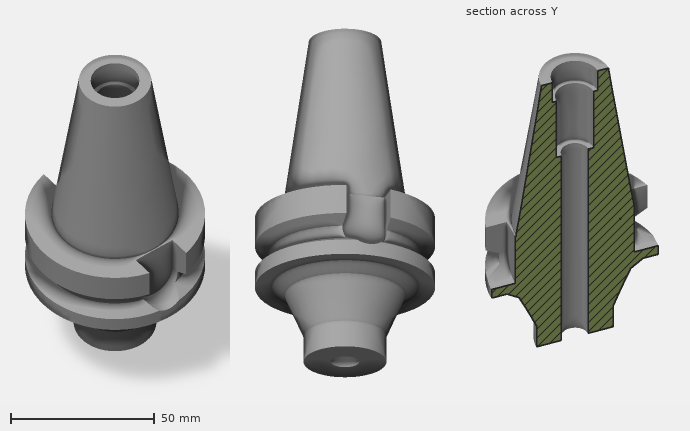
import cadquery as cq
import math

gauge_diameter = 44.45
taper_length = 65.4
taper_ratio = 7 / 24

flange_diameter = 63.0
flange_top = -1.0
flange_bottom = -27.0
groove_center = -16.6
groove_mouth = 10.0
groove_core_diameter = 53.2
groove_wall_angle = 30.0

slot_width = 16.1
slot_depth = 21.8
slot_floor_offset = 22.5

under_cone_diameter = 51.2
under_cone_height = 3.1
neck_diameter = 42.2
neck_height = 15.2
nose_diameter = 29.0
nose_bottom = -55.0

pilot_diameter = 17.0
pilot_depth = 9.0
thread_bore_diameter = 14.0
thread_bore_depth = 35.0
through_diameter = 10.0


def make_body():
    """Revolve the outer half profile, from the small taper end down to the nose."""
    flange_radius = flange_diameter / 2
    core_radius = groove_core_diameter / 2
    gauge_radius = gauge_diameter / 2
    small_radius = gauge_radius - taper_length * taper_ratio / 2
    wall_height = (flange_radius - core_radius) * math.tan(math.radians(groove_wall_angle))
    mouth_top = groove_center + groove_mouth / 2
    mouth_bottom = groove_center - groove_mouth / 2
    neck_top = flange_bottom - under_cone_height
    profile = [
        (0, taper_length),
        (small_radius, taper_length),
        (gauge_radius, 0),
        (gauge_radius, flange_top),
        (flange_radius, flange_top),
        (flange_radius, mouth_top),
        (core_radius, mouth_top - wall_height),
        (core_radius, mouth_bottom + wall_height),
        (flange_radius, mouth_bottom),
        (flange_radius, flange_bottom),
        (under_cone_diameter / 2, flange_bottom),
        (neck_diameter / 2, neck_top),
        (nose_diameter / 2, neck_top - neck_height),
        (nose_diameter / 2, nose_bottom),
        (0, nose_bottom),
    ]
    return cq.Workplane("YZ").polyline(profile).close().revolve(360, (0, 0), (0, 1))


def make_bore():
    """Stack the pilot, thread and through bores on the axis."""
    def bore(diameter, depth):
        return cq.Workplane("XY", origin=(0, 0, taper_length - depth)).circle(diameter / 2).extrude(depth)

    pilot = bore(pilot_diameter, pilot_depth)
    thread = bore(thread_bore_diameter, thread_bore_depth)
    through = bore(through_diameter, taper_length - nose_bottom)
    return pilot.union(thread).union(through)


def make_drive_slot(side):
    """Round-bottomed slot cutter running outward along X; side is +1 or -1."""
    radius = slot_width / 2
    slot_bottom = flange_top - slot_depth
    arc_center = slot_bottom + radius
    return (
        cq.Workplane("YZ", origin=(side * slot_floor_offset, 0, 0))
        .moveTo(-radius, flange_top)
        .lineTo(-radius, arc_center)
        .threePointArc((0, slot_bottom), (radius, arc_center))
        .lineTo(radius, flange_top)
        .close()
        .extrude(side * flange_diameter / 2)
    )


result = make_body().cut(make_bore())
for side in (-1, 1):
    result = result.cut(make_drive_slot(side))